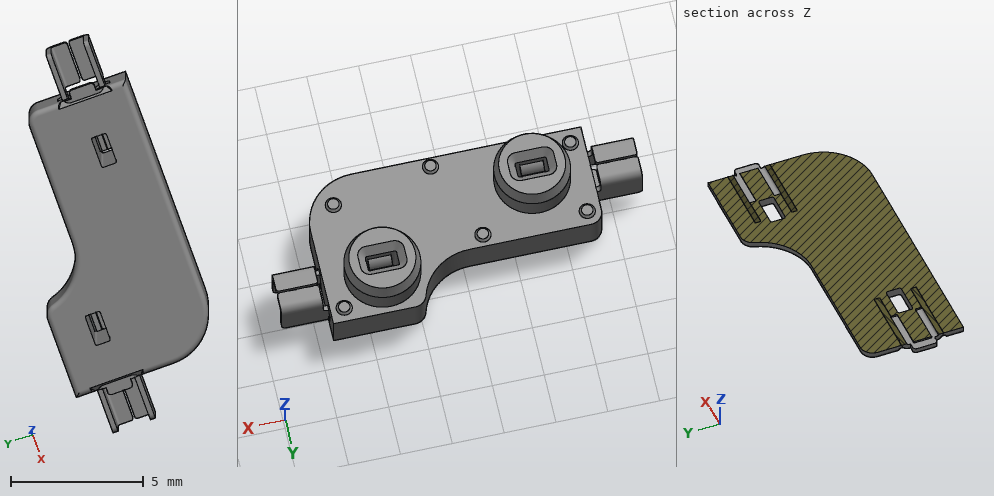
import cadquery as cq


overall_length = 14.5

housing_length = 10.88
housing_width = 5.89
housing_height = 1.71
low_width = 4.02
front_radius = 2.0
step_radius = 2.09
small_radius = 0.51
step_x = -0.22
underside_radius = 0.2

pin_pitch_x = 6.35
pin_pitch_y = 2.54
boss_diameter = 2.9
boss_top_diameter = 2.52
boss_top_z = 3.05
boss_cone_z = 2.6
throat_length = 1.2
throat_width = 0.6
throat_corner_radius = 0.07
funnel_offset = 0.29
funnel_depth = 0.3

pip_diameter = 0.61
pip_top_diameter = 0.44
pip_height = 0.1
pip_places = [
    (-4.9, 0.51),
    (-4.9, -2.38),
    (-0.85, 0.6),
    (0.45, -2.58),
    (4.36, -1.84),
    (4.9, 2.39),
]

sheet = 0.2
clip_width = 1.7
clip_top_z = 1.84
clip_reach = (overall_length - housing_length) / 2
bend_radius = 0.3
notch_reach = 0.2
notch_z = 1.17
notch_radius = 0.15
wall_bottom_z = 0.35
wall_corner_radius = 0.2
flap_gap = 0.07
flap_corner_radius = 0.1
floor_z = 0.07
tongue_width = 0.99
tongue_reach = 0.32
tongue_corner_radius = 0.13

leaf_length = 0.9
leaf_shift = 0.05
leaf_top_z = 2.48
leaf_gap = 0.01
floor_end_gap = 0.17

pocket_reach = 0.19
corner_pocket_width = 0.29
corner_pocket_top_z = 1.12
pocket_bottom_z = 0.61
pocket_shoulder_z = 0.91
pocket_top_z = 1.15
ramp_half_width = 0.91
ramp_flare = 0.15

margin = 0.15

pin_x = pin_pitch_x / 2
pin_y = pin_pitch_y / 2
end_x = -housing_length / 2
front_y = -housing_width / 2
clip_y = -pin_y
half_clip = clip_width / 2
half_inside = half_clip - sheet
floor_top_z = floor_z + sheet
leaf_start_x = -pin_x - leaf_shift - leaf_length / 2
leaf_end_x = leaf_start_x + leaf_length
floor_end_x = leaf_start_x - floor_end_gap


def half_turn(body):
    return body.rotate((0, 0, 0), (0, 0, 1), 180)


def extrude_along_x(outline_points, start_x, stop_x):
    """Prism along X from (y, z) points, with y measured from the clip centre line."""
    plane = cq.Workplane("YZ", origin=(start_x, clip_y, 0))
    return plane.polyline(outline_points).close().extrude(stop_x - start_x)


def box_between(x_range, y_range, z_range):
    """Box with y measured from the clip centre line."""
    sizes = [high - low for low, high in (x_range, y_range, z_range)]
    corner = (x_range[0], clip_y + y_range[0], z_range[0])
    return cq.Workplane("XY").box(*sizes, centered=False).translate(corner)



def clip_cap():
    """Folded cap outside the housing: upper part of both walls, with two top flaps."""
    cap_x = (end_x - clip_reach, end_x - notch_reach)
    outside = box_between(cap_x, (-half_clip, half_clip), (notch_z, clip_top_z))
    outside = outside.edges("|X and >Z").fillet(bend_radius)
    inside = box_between(cap_x, (-half_inside, half_inside), (notch_z, clip_top_z - sheet))
    inside = inside.edges("|X and >Z").fillet(bend_radius - sheet)
    gap = box_between(cap_x, (-flap_gap / 2, flap_gap / 2), (notch_z, clip_top_z))
    flap_corners = cq.selectors.BoxSelector(
        (cap_x[0] - margin, clip_y - margin, notch_z),
        (cap_x[1] + margin, clip_y + margin, clip_top_z + margin),
    )
    return outside.cut(inside).cut(gap).edges("|Z").edges(flap_corners).fillet(flap_corner_radius)


def clip_wall(inner_y):
    """Lower part of a side wall up to the end face, with a fillet in the notch behind the cap."""
    wall_y = (inner_y, inner_y + sheet)
    wall = box_between((end_x - clip_reach, end_x), wall_y, (wall_bottom_z, notch_z))
    wall = wall.edges("|Y and <X and <Z").fillet(wall_corner_radius)
    cap_x = end_x - notch_reach
    notch_fillet = (
        cq.Workplane("XZ", origin=(cap_x, clip_y + inner_y + sheet, notch_z))
        .lineTo(notch_radius, 0)
        .radiusArc((0, notch_radius), notch_radius)
        .close()
        .extrude(sheet)
    )
    return wall.union(notch_fillet)


def clip_channel():
    """U channel inside the housing, whose floor stops before the leaves."""
    walls_y = (-half_clip, half_clip)
    inside_y = (-half_inside, half_inside)
    channel = box_between((end_x, leaf_end_x), walls_y, (floor_z, notch_z))
    channel = channel.edges("|X and <Z").fillet(bend_radius)
    inside = box_between((end_x, leaf_end_x), inside_y, (floor_top_z, notch_z))
    inside = inside.edges("|X and <Z").fillet(bend_radius - sheet)
    missing_floor = box_between((floor_end_x, leaf_end_x), inside_y, (floor_z, notch_z))
    return channel.cut(inside).cut(missing_floor)


def contact_leaf():
    """Strip that rises from the back wall and folds over in a half circle."""
    outer_radius = (half_clip - leaf_gap / 2) / 2
    inner_radius = outer_radius - sheet
    fold_y = half_clip - outer_radius
    fold_z = leaf_top_z - outer_radius
    return (
        cq.Workplane("YZ", origin=(leaf_start_x, clip_y, 0))
        .moveTo(half_clip, notch_z)
        .lineTo(half_clip, fold_z)
        .threePointArc((fold_y, leaf_top_z), (fold_y - outer_radius, fold_z))
        .lineTo(fold_y - inner_radius, fold_z)
        .threePointArc((fold_y, fold_z + inner_radius), (half_inside, fold_z))
        .lineTo(half_inside, notch_z)
        .close()
        .extrude(leaf_length)
    )


def clip_tongue():
    """Floor tab that sticks out of the housing below the cap."""
    tongue = box_between(
        (end_x - tongue_reach, end_x),
        (-tongue_width / 2, tongue_width / 2),
        (floor_z, floor_top_z),
    )
    return tongue.edges("|Z and <X").fillet(tongue_corner_radius)


def make_clip():
    back_leaf = contact_leaf()
    front_leaf = back_leaf.mirror("XZ", (0, clip_y, 0))
    clip = clip_cap().union(clip_channel()).union(clip_tongue()).union(back_leaf).union(front_leaf)
    for inner_y in (-half_clip, half_inside):
        clip = clip.union(clip_wall(inner_y))
    return clip



def housing_base():
    low_back_y = front_y + low_width
    block = cq.Workplane("XY").rect(housing_length, housing_width).extrude(housing_height)
    step = (
        cq.Workplane("XY")
        .moveTo(end_x, low_back_y)
        .lineTo(step_x, low_back_y)
        .radiusArc((step_x + step_radius, low_back_y + step_radius), -step_radius)
        .lineTo(end_x, low_back_y + step_radius)
        .close()
        .extrude(housing_height)
    )
    base = block.cut(step)
    base = base.edges("|Z and >X and <Y").fillet(front_radius)
    back_left = cq.selectors.BoxSelector(
        (end_x - margin, low_back_y - margin, 0),
        (step_x + step_radius + margin, housing_width / 2 + margin, housing_height),
    )
    base = base.edges("|Z").edges(back_left).edges("<X or >Y").fillet(small_radius)
    return base.faces("<Z").edges().fillet(underside_radius)


def pin_boss():
    radius = boss_diameter / 2
    foot = cq.Solid.makeCylinder(radius, boss_cone_z)
    cone = cq.Solid.makeCone(radius, boss_top_diameter / 2, boss_top_z - boss_cone_z)
    boss = cq.Workplane(foot).union(cq.Workplane(cone.translate(cq.Vector(0, 0, boss_cone_z))))
    return boss.translate((-pin_x, -pin_y, 0))


def pin_hole():
    """Throat through the full height with a funnel at the top."""
    throat = cq.Workplane("XY").rect(throat_length, throat_width).extrude(boss_top_z)
    throat = throat.edges("|Z").fillet(throat_corner_radius)
    bottom = cq.Sketch().rect(throat_length, throat_width).vertices().fillet(throat_corner_radius)
    mouth = (
        cq.Sketch()
        .rect(throat_length + 2 * funnel_offset, throat_width + 2 * funnel_offset)
        .vertices()
        .fillet(throat_corner_radius + funnel_offset)
    )
    raised_mouth = mouth.moved(cq.Location(cq.Vector(0, 0, funnel_depth)))
    funnel = (
        cq.Workplane("XY", origin=(0, 0, boss_top_z - funnel_depth))
        .placeSketch(bottom, raised_mouth)
        .loft()
    )
    return throat.union(funnel).translate((-pin_x, -pin_y, 0))


def end_pockets():
    """Side and corner pockets around the clip, open at the end face."""
    pockets = cq.Workplane("XY")
    for side in (-1, 1):
        side_points = [
            (side * half_clip, pocket_bottom_z),
            (side * (half_clip + pocket_reach), pocket_bottom_z),
            (side * (half_clip + pocket_reach), pocket_shoulder_z),
            (side * half_clip, pocket_top_z),
        ]
        corner_points = [
            (side * (half_inside - corner_pocket_width), floor_top_z),
            (side * half_inside, floor_top_z),
            (side * half_inside, corner_pocket_top_z),
        ]
        for points in (side_points, corner_points):
            pockets = pockets.union(extrude_along_x(points, end_x, floor_end_x))
    return pockets


def underside_ramp():
    """45 degree lead-in under the clip, with flared sides."""
    bottom_half_width = ramp_half_width + ramp_flare
    flared_points = [
        (-bottom_half_width, 0),
        (bottom_half_width, 0),
        (ramp_half_width, underside_radius),
        (-ramp_half_width, underside_radius),
    ]
    flared = extrude_along_x(flared_points, end_x, end_x + underside_radius)
    slope = (
        cq.Workplane("XZ", origin=(end_x, clip_y + bottom_half_width, 0))
        .polyline([(0, 0), (underside_radius, 0), (0, underside_radius)])
        .close()
        .extrude(2 * bottom_half_width)
    )
    return flared.intersect(slope)


def pips():
    pip = cq.Solid.makeCone(pip_diameter / 2, pip_top_diameter / 2, pip_height)
    places = cq.Workplane("XY", origin=(0, 0, housing_height)).pushPoints(pip_places)
    return places.eachpoint(pip, combine=True)


def make_housing(clips):
    housing = housing_base().union(pips())
    boss = pin_boss()
    for copy in (boss, half_turn(boss)):
        housing = housing.union(copy)
    for cutter in (pin_hole(), end_pockets(), underside_ramp()):
        housing = housing.cut(cutter).cut(half_turn(cutter))
    for clip in clips:
        housing = housing.cut(clip)
    return housing


left_clip = make_clip()
clips = [left_clip, half_turn(left_clip)]
housing = make_housing(clips)
result = cq.Compound.makeCompound([housing.val(), *[clip.val() for clip in clips]])